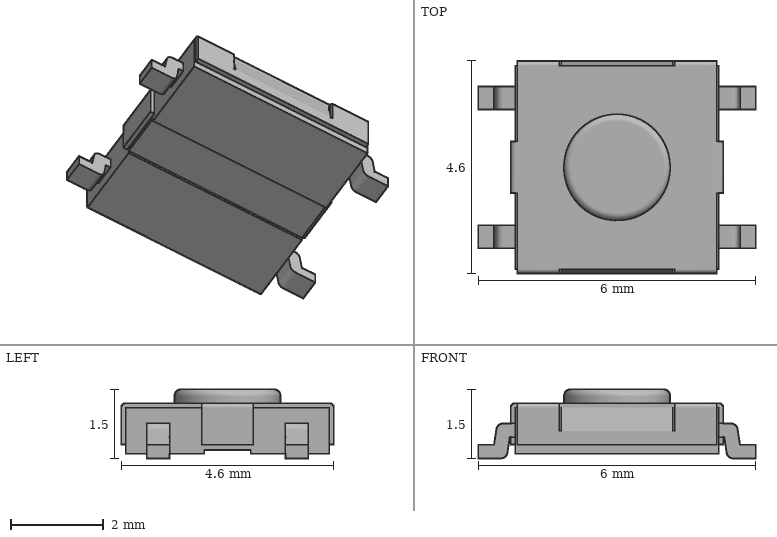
import cadquery as cq

housing_width = 4.4
housing_bottom = 0.1
housing_top = 1.1
channel_width = 1.0
channel_depth = 0.08

sheet = 0.1
cover_width_x = 4.32
wall_bottom = 0.3
bend_radius = 0.1
side_tab_width = 1.12
cover_top = housing_top + sheet
cover_span = housing_width + 2 * sheet

window_width = 2.5
window_bottom = 0.6
wedge_clearance = 0.04
wedge_width = window_width - 2 * wedge_clearance

button_diameter = 2.3
button_top = 1.5
button_fillet = 0.15

lead_span = 6.0
lead_width = 0.5
lead_pitch = 3.0
lead_thickness = 0.3
lead_top = 0.76
lead_foot_length = 0.34
lead_slope_run = 0.07
lead_slope_thickness = 0.32
lead_bend_radius = 0.15


def box(size_x, size_y, bottom, top):
    """Box centred on the Z axis, between two heights."""
    return cq.Workplane("XY").workplane(offset=bottom).rect(size_x, size_y).extrude(top - bottom)


def make_housing():
    block = box(housing_width, housing_width, housing_bottom, housing_top)
    channel = box(housing_width, channel_width, housing_bottom, housing_bottom + channel_depth)
    return block.cut(channel)


def make_cover():
    """Two strips crossing on top, each folded down at both ends, with the end windows cut."""
    front_rear = box(cover_width_x, cover_span, wall_bottom, cover_top)
    front_rear = front_rear.faces(">Z").edges("|X").fillet(bend_radius)
    sides = box(cover_span, side_tab_width, wall_bottom, cover_top)
    sides = sides.faces(">Z").edges("|Y").fillet(bend_radius)
    windows = box(window_width, cover_span, window_bottom, cover_top)
    windows = windows.cut(box(window_width, housing_width, window_bottom, cover_top))
    inside = box(housing_width, housing_width, wall_bottom, housing_top)
    return front_rear.cut(windows).union(sides).cut(inside)


def make_front_wedge():
    """Wedge leaning from the window sill back to the housing face."""
    inner = -housing_width / 2
    outer = -cover_span / 2
    profile = [(inner, window_bottom), (outer, window_bottom), (inner, housing_top)]
    return cq.Workplane("YZ").polyline(profile).close().extrude(wedge_width / 2, both=True)


def make_button():
    button = cq.Workplane("XY").workplane(offset=housing_top).circle(button_diameter / 2)
    return button.extrude(button_top - housing_top).faces(">Z").edges().fillet(button_fillet)


def make_left_lead():
    """Z-shaped lead on the -X side, centred on Y = 0."""
    root = -housing_width / 2
    tip = -lead_span / 2
    lead_underside = lead_top - lead_thickness
    slope = lead_slope_run / lead_underside
    heel = tip + lead_foot_length
    shoulder = heel + lead_slope_run
    sole_corner = heel + lead_slope_thickness - slope * lead_thickness
    armpit = sole_corner + slope * lead_underside
    profile = [
        (tip, 0),
        (sole_corner, 0),
        (armpit, lead_underside),
        (root, lead_underside),
        (root, lead_top),
        (shoulder, lead_top),
        (heel, lead_thickness),
        (tip, lead_thickness),
    ]
    lead = cq.Workplane("XZ").polyline(profile).close().extrude(lead_width / 2, both=True)
    shoulder_bend = cq.selectors.NearestToPointSelector((shoulder, 0, lead_top))
    sole_bend = cq.selectors.NearestToPointSelector((sole_corner, 0, 0))
    lead = lead.edges("|Y").edges(shoulder_bend).fillet(lead_bend_radius)
    return lead.edges("|Y").edges(sole_bend).fillet(lead_bend_radius)


result = make_housing().union(make_cover()).union(make_button())

front_wedge = make_front_wedge()
result = result.union(front_wedge).union(front_wedge.mirror("XZ"))

left_lead = make_left_lead()
for side_lead in (left_lead, left_lead.mirror("YZ")):
    for lead_y in (-lead_pitch / 2, lead_pitch / 2):
        result = result.union(side_lead.translate((0, lead_y, 0)))